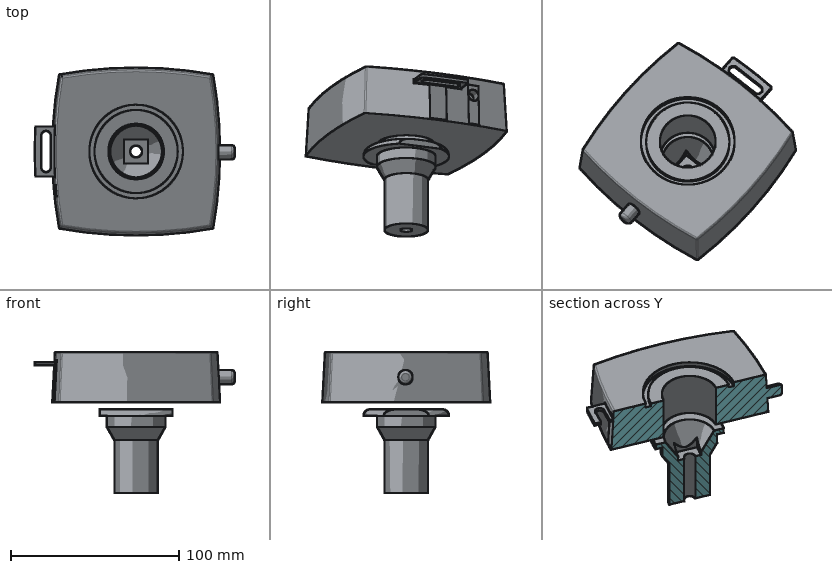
import cadquery as cq
import math

HOUSING_HEIGHT = 30.0
HOUSING_HALF_WIDTH = 50.0
HOUSING_HALF_CORNER = 45.8
DRAFT_ANGLE = 3.0
EDGE_FILLET = 1.0

BORE_RADIUS = 16.5
LAND_RADIUS = 24.8
LAND_DROP = 1.0
GROOVE_RADIUS = 27.9
GROOVE_DEPTH = 3.0

TAB_TIP_X = -60.4
TAB_ROOT_X = -45.3
TAB_WIDTH = 30.0
TAB_THICKNESS = 2.0
TAB_MID_Z = 23.0
TAB_CORNER_RADIUS = 0.7
TAB_CLEARANCE = 0.4
STRAP_SLOT_X = -53.6
STRAP_SLOT_LENGTH = 24.4
STRAP_SLOT_WIDTH = 5.5

INSET_DEPTH = 0.1
PANEL_BOTTOM_Z = 0.7
PANEL_TOP_Z = 25.2
CENTER_PANEL_WIDTH = 10.7
SIDE_HOLE_RADIUS = 3.5
SIDE_HOLE_Y = -23.3
SIDE_HOLE_Z = 19.0
SIDE_HOLE_DEPTH = 10.0

OVERALL_LENGTH = 119.1
PEG_TIP_X = TAB_TIP_X + OVERALL_LENGTH
PEG_ROOT_X = HOUSING_HALF_CORNER
PEG_RADIUS = 4.3
PEG_Y = -0.5
PEG_Z = HOUSING_HEIGHT / 2
PEG_FILLET = 2.0

PLUNGER_GAP = 4.0
FLANGE_HEIGHT = 3.9
FLANGE_RADIUS = 25.5
FLANGE_HALF_FLATS = 21.7
NECK_RADIUS = 17.5
NECK_LENGTH = 6.5
TAPER_LENGTH = 8.0
STEM_RADIUS = 13.0
STEM_LENGTH = 31.4
SOCKET_RADIUS = 15.4
SOCKET_HALF_ANGLE = 30.0
SQUARE_SIDE = 14.4
SQUARE_DEPTH = 2.4
PLUNGER_HOLE_RADIUS = 3.5

FLANGE_TOP_Z = -PLUNGER_GAP
FLANGE_BOTTOM_Z = FLANGE_TOP_Z - FLANGE_HEIGHT
NECK_BOTTOM_Z = FLANGE_BOTTOM_Z - NECK_LENGTH
TAPER_BOTTOM_Z = NECK_BOTTOM_Z - TAPER_LENGTH
STEM_BOTTOM_Z = TAPER_BOTTOM_Z - STEM_LENGTH


def drafted_block(inset):
    """Bulging square block with drafted sides, every side moved inward by inset."""
    middle = HOUSING_HALF_WIDTH - inset
    corner = HOUSING_HALF_CORNER - inset
    return (
        cq.Workplane("XY")
        .moveTo(-corner, -corner)
        .threePointArc((0, -middle), (corner, -corner))
        .threePointArc((middle, 0), (corner, corner))
        .threePointArc((0, middle), (-corner, corner))
        .threePointArc((-middle, 0), (-corner, -corner))
        .close()
        .extrude(HOUSING_HEIGHT, taper=DRAFT_ANGLE)
    )


def cylinder_down(radius, depth):
    """Cylinder reaching down from the top of the housing."""
    return cq.Workplane("XY").workplane(offset=HOUSING_HEIGHT - depth).circle(radius).extrude(depth)


def top_recess():
    """Bore, lowered land around it and the deeper ring groove around the land."""
    groove = cylinder_down(GROOVE_RADIUS, GROOVE_DEPTH).cut(cylinder_down(LAND_RADIUS, GROOVE_DEPTH))
    land = cylinder_down(LAND_RADIUS, LAND_DROP)
    bore = cylinder_down(BORE_RADIUS, HOUSING_HEIGHT)
    return groove.union(land).union(bore)


def side_window(y_center, width, z_bottom, z_top):
    """Box that covers a rectangle of the -X side."""
    return (
        cq.Workplane("XY")
        .box(HOUSING_HALF_WIDTH, width, z_top - z_bottom, centered=(False, True, False))
        .translate((-HOUSING_HALF_WIDTH, y_center, z_bottom))
    )


def side_insets():
    """Shallow insets that follow the -X side: two panels and a rim around the tab."""
    rim_half_height = TAB_THICKNESS / 2 + TAB_CLEARANCE
    rim_width = TAB_WIDTH + 2 * TAB_CLEARANCE
    windows = (
        side_window(0, CENTER_PANEL_WIDTH, PANEL_BOTTOM_Z, PANEL_TOP_Z)
        .union(side_window(SIDE_HOLE_Y, 2 * SIDE_HOLE_RADIUS, PANEL_BOTTOM_Z, PANEL_TOP_Z))
        .union(side_window(0, rim_width, TAB_MID_Z - rim_half_height, TAB_MID_Z + rim_half_height))
    )
    return windows.cut(drafted_block(INSET_DEPTH))


def side_hole():
    """Blind hole into the -X side."""
    return (
        cq.Workplane("YZ")
        .workplane(offset=-HOUSING_HALF_WIDTH)
        .center(SIDE_HOLE_Y, SIDE_HOLE_Z)
        .circle(SIDE_HOLE_RADIUS)
        .extrude(SIDE_HOLE_DEPTH)
    )


def strap_tab():
    """Thin slotted tab whose outer edge runs parallel to the bulging side."""
    bulge = HOUSING_HALF_WIDTH - HOUSING_HALF_CORNER
    side_arc_radius = (HOUSING_HALF_CORNER**2 + bulge**2) / (2 * bulge)
    tip_radius = side_arc_radius - TAB_TIP_X - HOUSING_HALF_WIDTH
    half_width = TAB_WIDTH / 2
    tip_corner_x = TAB_TIP_X + tip_radius - math.sqrt(tip_radius**2 - half_width**2)
    slot = (
        cq.Workplane("XY")
        .center(STRAP_SLOT_X, 0)
        .slot2D(STRAP_SLOT_LENGTH, STRAP_SLOT_WIDTH, 90)
        .extrude(TAB_THICKNESS)
    )
    tab = (
        cq.Workplane("XY")
        .moveTo(TAB_ROOT_X, -half_width)
        .lineTo(tip_corner_x, -half_width)
        .threePointArc((TAB_TIP_X, 0), (tip_corner_x, half_width))
        .lineTo(TAB_ROOT_X, half_width)
        .close()
        .extrude(TAB_THICKNESS)
        .edges("|Z and (not >X)")
        .fillet(TAB_CORNER_RADIUS)
        .cut(slot)
    )
    return tab.translate((0, 0, TAB_MID_Z - TAB_THICKNESS / 2))


def peg():
    """Round-tipped peg on the +X side."""
    return (
        cq.Workplane("YZ")
        .workplane(offset=PEG_ROOT_X)
        .center(PEG_Y, PEG_Z)
        .circle(PEG_RADIUS)
        .extrude(PEG_TIP_X - PEG_ROOT_X)
        .faces(">X")
        .edges()
        .fillet(PEG_FILLET)
    )


def make_housing():
    """Rounded block with its recesses, tab and peg."""
    block = drafted_block(0).edges("not <Z").fillet(EDGE_FILLET)
    carved = block.cut(top_recess()).cut(side_insets()).cut(side_hole())
    return carved.union(strap_tab()).union(peg())


def plunger_blank():
    """Turned outside of the plunger, its flange rounded over on top."""
    arc_center_radius = FLANGE_RADIUS - FLANGE_HEIGHT
    arc_reach = FLANGE_HEIGHT * math.sqrt(0.5)
    return (
        cq.Workplane("XZ")
        .moveTo(0, FLANGE_TOP_Z)
        .lineTo(arc_center_radius, FLANGE_TOP_Z)
        .threePointArc(
            (arc_center_radius + arc_reach, FLANGE_BOTTOM_Z + arc_reach),
            (FLANGE_RADIUS, FLANGE_BOTTOM_Z),
        )
        .lineTo(NECK_RADIUS, FLANGE_BOTTOM_Z)
        .lineTo(NECK_RADIUS, NECK_BOTTOM_Z)
        .lineTo(STEM_RADIUS, TAPER_BOTTOM_Z)
        .lineTo(STEM_RADIUS, STEM_BOTTOM_Z)
        .lineTo(0, STEM_BOTTOM_Z)
        .close()
        .revolve(360, (0, 0, 0), (0, 1, 0))
    )


def plunger_socket():
    """Conical seat running down into a square recess, with a round hole on through."""
    seat_end_radius = SQUARE_SIDE / 2
    seat_depth = (SOCKET_RADIUS - seat_end_radius) / math.tan(math.radians(SOCKET_HALF_ANGLE))
    seat_floor_z = FLANGE_TOP_Z - seat_depth
    square_floor_z = seat_floor_z - SQUARE_DEPTH
    seat = (
        cq.Workplane("XZ")
        .moveTo(0, FLANGE_TOP_Z)
        .lineTo(SOCKET_RADIUS, FLANGE_TOP_Z)
        .lineTo(seat_end_radius, seat_floor_z)
        .lineTo(0, seat_floor_z)
        .close()
        .revolve(360, (0, 0, 0), (0, 1, 0))
    )
    square = (
        cq.Workplane("XY")
        .workplane(offset=square_floor_z)
        .rect(SQUARE_SIDE, SQUARE_SIDE)
        .extrude(FLANGE_TOP_Z - square_floor_z)
    )
    hole = (
        cq.Workplane("XY")
        .workplane(offset=STEM_BOTTOM_Z)
        .circle(PLUNGER_HOLE_RADIUS)
        .extrude(square_floor_z - STEM_BOTTOM_Z)
    )
    return seat.union(square).union(hole)


def make_plunger():
    """Stem whose round flange has two flats facing -X and +X."""
    between_flats = (
        cq.Workplane("XY")
        .workplane(offset=STEM_BOTTOM_Z)
        .rect(2 * FLANGE_HALF_FLATS, 2 * FLANGE_RADIUS)
        .extrude(FLANGE_TOP_Z - STEM_BOTTOM_Z)
    )
    return plunger_blank().intersect(between_flats).cut(plunger_socket())


housing = make_housing()
plunger = make_plunger()
result = cq.Compound.makeCompound([housing.val(), plunger.val()])